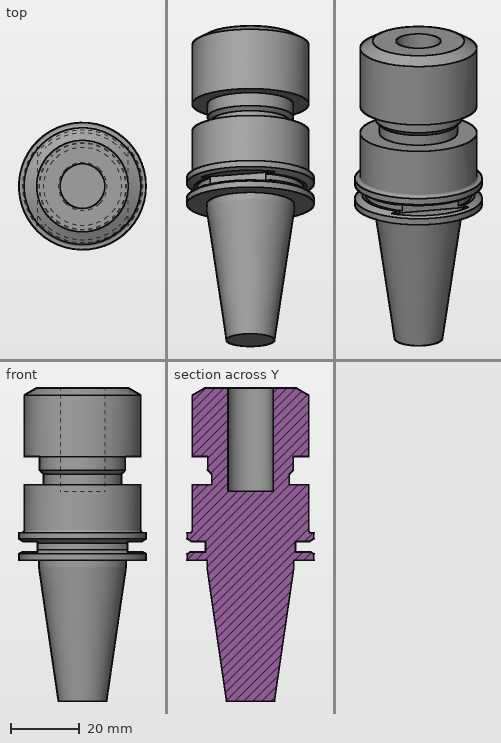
import cadquery as cq
import math

gauge_diameter = 25.4
taper_ratio = 7 / 24
taper_length = 39.0
shank_collar_height = 2.0

flange_diameter = 37.0
flange_height = 8.0
lower_rim_height = 1.85
upper_rim_height = 1.8
flank_angle = 30.0
groove_mouth_diameter = 32.8
groove_core_diameter = 31.15

flat_spacing = 26.2
slot_height = 3.0
slot_bottom_height = 2.45

body_diameter = 33.9
body_top_height = 22.0
body_fillet_radius = 0.8

neck_diameter = 22.7
neck_height = 3.0
collar_diameter = 25.0
collar_cone_height = 1.2
collar_height = 3.9
nut_diameter = 33.9
nut_height = 19.98
nut_face_diameter = 26.6
nut_bevel_height = 2.1

bore_diameter = 13.0
bore_depth = 30.0

flange_bottom = taper_length + shank_collar_height
flange_top = flange_bottom + flange_height
body_top = flange_bottom + body_top_height
neck_top = body_top + neck_height
collar_bottom = neck_top + collar_cone_height
nut_bottom = collar_bottom + collar_height
nut_top = nut_bottom + nut_height


def revolve_profile(profile):
    """Close an XZ half-profile and turn it about the Z axis."""
    return profile.close().revolve(360, (0, 0, 0), (0, 1, 0))


def make_shank():
    large_radius = gauge_diameter / 2
    small_radius = (gauge_diameter - taper_ratio * taper_length) / 2
    profile = (
        cq.Workplane("XZ")
        .lineTo(small_radius, 0)
        .lineTo(large_radius, taper_length)
        .lineTo(large_radius, flange_bottom)
        .lineTo(0, flange_bottom)
    )
    return revolve_profile(profile)


def make_flange_and_body():
    rim_radius = flange_diameter / 2
    mouth_radius = groove_mouth_diameter / 2
    core_radius = groove_core_diameter / 2
    body_radius = body_diameter / 2
    lower_rim_top = flange_bottom + lower_rim_height
    upper_rim_bottom = flange_top - upper_rim_height
    flank_height = (rim_radius - mouth_radius) * math.tan(math.radians(flank_angle))
    groove_bottom = lower_rim_top + flank_height
    groove_top = upper_rim_bottom - flank_height
    profile = (
        cq.Workplane("XZ")
        .moveTo(0, flange_bottom)
        .lineTo(rim_radius, flange_bottom)
        .lineTo(rim_radius, lower_rim_top)
        .lineTo(mouth_radius, groove_bottom)
        .lineTo(core_radius, groove_bottom)
        .lineTo(core_radius, groove_top)
        .lineTo(mouth_radius, groove_top)
        .lineTo(rim_radius, upper_rim_bottom)
        .lineTo(rim_radius, flange_top)
        .lineTo(body_radius + body_fillet_radius, flange_top)
        .radiusArc((body_radius, flange_top + body_fillet_radius), body_fillet_radius)
        .lineTo(body_radius, body_top)
        .lineTo(0, body_top)
    )
    return revolve_profile(profile)


def make_neck_and_nut():
    nut_radius = nut_diameter / 2
    profile = (
        cq.Workplane("XZ")
        .moveTo(0, body_top)
        .lineTo(neck_diameter / 2, body_top)
        .lineTo(neck_diameter / 2, neck_top)
        .lineTo(collar_diameter / 2, collar_bottom)
        .lineTo(collar_diameter / 2, nut_bottom)
        .lineTo(nut_radius, nut_bottom)
        .lineTo(nut_radius, nut_top - nut_bevel_height)
        .lineTo(nut_face_diameter / 2, nut_top)
        .lineTo(0, nut_top)
    )
    return revolve_profile(profile)


def make_driving_slot(side):
    """Block that cuts one slot; side is +1 or -1 along X."""
    slot_depth = (flange_diameter - flat_spacing) / 2
    slot_center_x = side * (flat_spacing + slot_depth) / 2
    return (
        cq.Workplane("XY", origin=(slot_center_x, 0, flange_bottom + slot_bottom_height))
        .box(slot_depth, flange_diameter, slot_height, centered=(True, True, False))
    )


def make_bore():
    return cq.Workplane("XY", origin=(0, 0, nut_top)).circle(bore_diameter / 2).extrude(-bore_depth)


result = make_shank().union(make_flange_and_body()).union(make_neck_and_nut())
for side in (-1, 1):
    result = result.cut(make_driving_slot(side))
result = result.cut(make_bore())